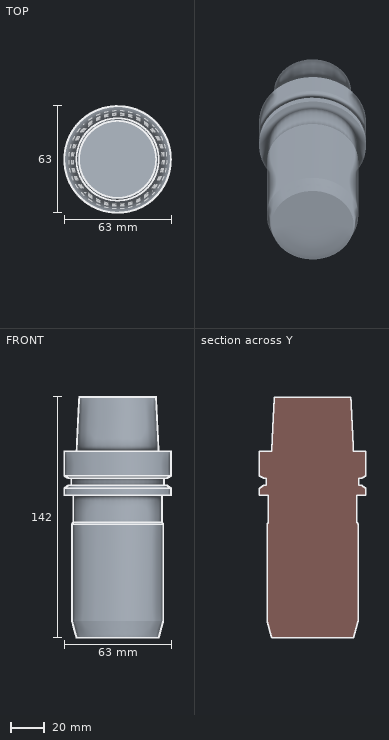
import cadquery as cq

nose_top = 10.0
body_top = 67.0
neck_start = 68.2
flange_bottom = 84.0
lower_rim_top = 88.2
groove_bottom = 90.0
groove_top = 94.0
upper_rim_bottom = 95.4
flange_top = 110.0
total_length = 142.0

nose_diameter = 48.5
body_diameter = 54.0
neck_diameter = 52.5
flange_diameter = 63.0
groove_diameter = 55.0
groove_mouth_diameter = 58.0
taper_base_diameter = 48.5
taper_end_diameter = 45.5

stations = [
    (nose_diameter, 0),
    (body_diameter, nose_top),
    (body_diameter, body_top),
    (neck_diameter, neck_start),
    (neck_diameter, flange_bottom),
    (flange_diameter, flange_bottom),
    (flange_diameter, lower_rim_top),
    (groove_mouth_diameter, groove_bottom),
    (groove_diameter, groove_bottom),
    (groove_diameter, groove_top),
    (groove_mouth_diameter, groove_top),
    (flange_diameter, upper_rim_bottom),
    (flange_diameter, flange_top),
    (taper_base_diameter, flange_top),
    (taper_end_diameter, total_length),
]

outline = [(diameter / 2, height) for diameter, height in stations]
profile = [(0, 0)] + outline + [(0, total_length)]

result = (
    cq.Workplane("XZ")
    .polyline(profile)
    .close()
    .revolve(360, (0, 0, 0), (0, 1, 0))
)